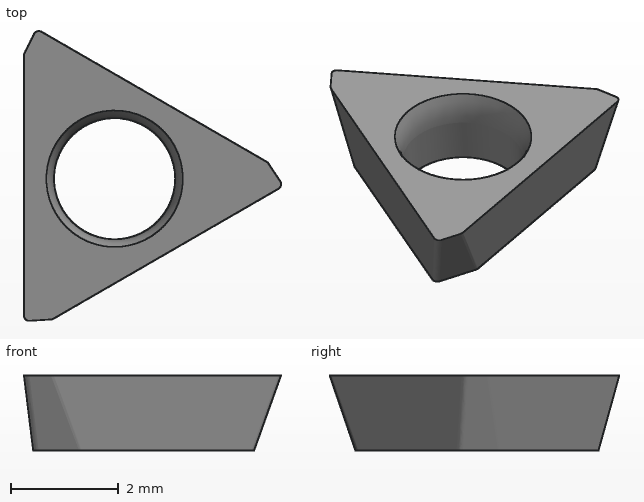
import cadquery as cq
import math

thickness = 1.4
side_distance = 1.685
facet_distance = 2.54
facet_tilt = 3.6
side_relief = 7.0
facet_relief = 18.5
corner_radius = 0.1
hole_diameter = 2.25
rim_diameter = 2.54
mouth_depth = 0.57
corner_count = 3


def line_crossing(angle_a, distance_a, angle_b, distance_b):
    """Crossing of two lines, each given by its normal angle and distance from the origin."""
    a = math.radians(angle_a)
    b = math.radians(angle_b)
    det = math.sin(b - a)
    x = (distance_a * math.sin(b) - distance_b * math.sin(a)) / det
    y = (distance_b * math.cos(a) - distance_a * math.cos(b)) / det
    return x, y


def outline(depth):
    """Six-cornered outline at a given depth below the top face."""
    side = side_distance - depth * math.tan(math.radians(side_relief))
    facet = facet_distance - depth * math.tan(math.radians(facet_relief))
    step = 360 / corner_count
    points = []
    for i in range(corner_count):
        side_angle = 180 + i * step
        facet_angle = side_angle + 90 + facet_tilt
        next_side_angle = side_angle + step
        points.append(line_crossing(side_angle, side, facet_angle, facet))
        points.append(line_crossing(facet_angle, facet, next_side_angle, side))
    return points


def make_body():
    """Relieved body with every upright edge rounded."""
    body = (
        cq.Workplane("XY")
        .polyline(outline(thickness)).close()
        .workplane(offset=thickness)
        .polyline(outline(0)).close()
        .loft(ruled=True, combine=True)
    )
    upright_edges = body.edges("not(#Z)")
    return upright_edges.fillet(corner_radius)


def make_hole():
    """Through hole whose mouth flares out along an arc tangent to the bore."""
    bore_radius = hole_diameter / 2
    rim_radius = rim_diameter / 2
    flare = rim_radius - bore_radius
    arc_radius = (mouth_depth**2 + flare**2) / (2 * flare)
    arc_start = thickness - mouth_depth
    half_angle = math.asin(mouth_depth / arc_radius) / 2
    arc_middle = (
        bore_radius + arc_radius * (1 - math.cos(half_angle)),
        arc_start + arc_radius * math.sin(half_angle),
    )
    return (
        cq.Workplane("XZ")
        .lineTo(bore_radius, 0)
        .lineTo(bore_radius, arc_start)
        .threePointArc(arc_middle, (rim_radius, thickness))
        .lineTo(0, thickness)
        .close()
        .revolve(360, (0, 0, 0), (0, 1, 0))
    )


result = make_body().cut(make_hole())